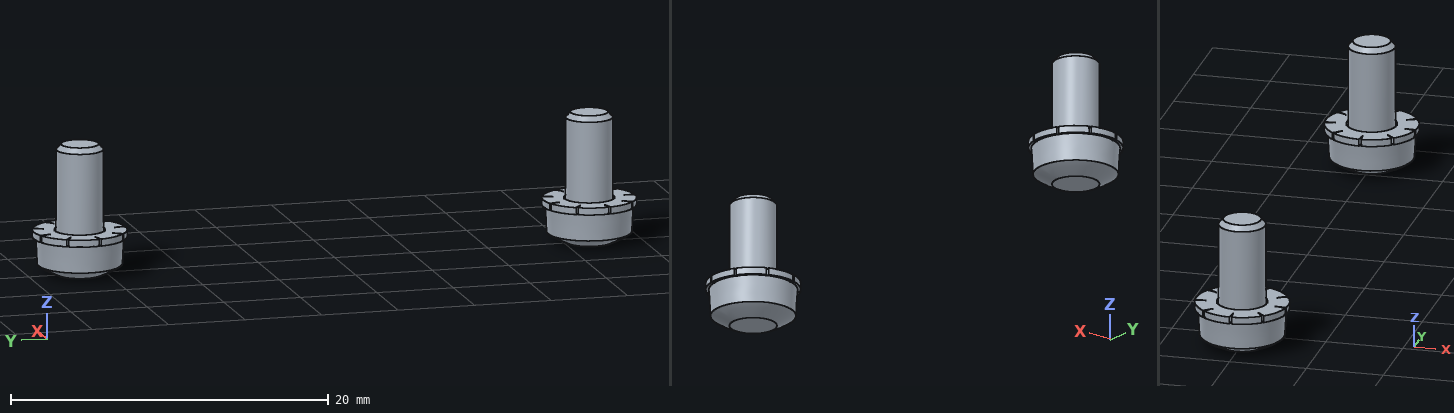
import cadquery as cq
import math

shank_radius = 1.5
shank_length = 6.0
tip_chamfer_width = 0.3
tip_chamfer_height = 0.35
head_height = 2.4
head_seat_radius = 2.8
head_rim_radius = 2.7
dome_height = 0.65
dome_flat_radius = 1.5
dome_bulge = 0.05

washer_radius = 3.0
washer_bore_radius = 1.6
washer_thickness = 0.45
tooth_count = 9
slit_tip_radius = 2.3
slit_rim_width = 0.15
first_slit_angle = -90.0

screw_spacing = 33.3
set_positions = [-screw_spacing / 2, screw_spacing / 2]


def make_screw():
    """Revolve the domed head, shank and chamfered tip as one solid."""
    rim_z = dome_height - head_height
    dome_middle_radius = (head_rim_radius + dome_flat_radius) / 2
    dome_middle_z = -head_height + dome_height / 2
    slope_length = math.hypot(head_rim_radius - dome_flat_radius, dome_height)
    bulge_radial = dome_bulge * dome_height / slope_length
    bulge_axial = dome_bulge * (head_rim_radius - dome_flat_radius) / slope_length
    dome_middle = (dome_middle_radius + bulge_radial, dome_middle_z - bulge_axial)

    profile = (
        cq.Workplane("XZ")
        .moveTo(0, -head_height)
        .lineTo(dome_flat_radius, -head_height)
        .threePointArc(dome_middle, (head_rim_radius, rim_z))
        .lineTo(head_seat_radius, 0)
        .lineTo(shank_radius, 0)
        .lineTo(shank_radius, shank_length - tip_chamfer_height)
        .lineTo(shank_radius - tip_chamfer_width, shank_length)
        .lineTo(0, shank_length)
        .close()
    )
    return profile.revolve(360, (0, 0, 0), (0, 1, 0))


def make_washer():
    """Flat ring with clearance around the shank, with V-shaped radial slits cut in from its rim."""
    ring = cq.Workplane("XY").circle(washer_radius).circle(washer_bore_radius).extrude(washer_thickness)
    slit_length = washer_radius - slit_tip_radius
    slit_end_radius = washer_radius + slit_length
    slit = (
        cq.Workplane("XY")
        .moveTo(slit_tip_radius, 0)
        .lineTo(slit_end_radius, -slit_rim_width)
        .lineTo(slit_end_radius, slit_rim_width)
        .close()
        .extrude(washer_thickness)
    )
    for tooth in range(tooth_count):
        angle = first_slit_angle + tooth * 360 / tooth_count
        ring = ring.cut(slit.rotate((0, 0, 0), (0, 0, 1), angle))
    return ring


screw = make_screw()
washer = make_washer()

bodies = []
for y in set_positions:
    bodies.append(screw.translate((0, y, 0)).val())
    bodies.append(washer.translate((0, y, 0)).val())

result = cq.Compound.makeCompound(bodies)